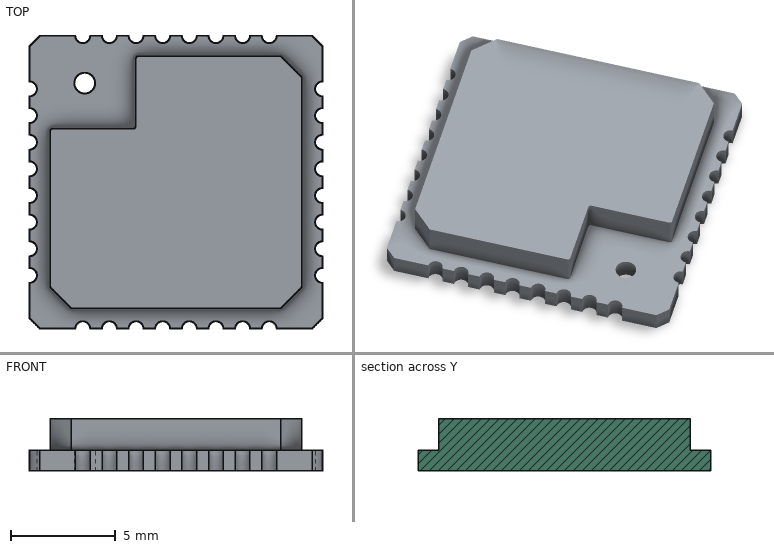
import cadquery as cq

board_side = 13.97
board_thickness = 0.99
board_chamfer = 0.5

castellation_count = 8
castellation_pitch = 1.27
castellation_diameter = 0.7

shield_side = 12.0
shield_height = 1.5
shield_chamfer = 1.0
notch_corner_x = -1.92
notch_corner_y = 2.55
notch_bend_radius = 0.127

hole_diameter = 0.98
hole_x = -4.35
hole_y = 4.72


def castellation_centres():
    """Centres of the half-round cuts on all four board edges."""
    edge = board_side / 2
    first = -castellation_pitch * (castellation_count - 1) / 2
    centres = []
    for index in range(castellation_count):
        along = first + index * castellation_pitch
        centres += [(along, edge), (along, -edge), (edge, along), (-edge, along)]
    return centres


def make_board():
    """Square board with chamfered corners, castellated edges and one hole."""
    board = (
        cq.Workplane("XY")
        .rect(board_side, board_side)
        .extrude(board_thickness)
        .edges("|Z")
        .chamfer(board_chamfer)
    )
    castellations = (
        cq.Workplane("XY")
        .pushPoints(castellation_centres())
        .circle(castellation_diameter / 2)
        .extrude(board_thickness)
    )
    hole = (
        cq.Workplane("XY")
        .center(hole_x, hole_y)
        .circle(hole_diameter / 2)
        .extrude(board_thickness)
    )
    return board.cut(castellations).cut(hole)


def make_shield():
    """Solid can with three chamfered corners and a notch with small bends at -X +Y."""
    half = shield_side / 2
    shield = (
        cq.Workplane("XY")
        .workplane(offset=board_thickness)
        .moveTo(-half, notch_corner_y)
        .lineTo(notch_corner_x, notch_corner_y)
        .lineTo(notch_corner_x, half)
        .lineTo(half - shield_chamfer, half)
        .lineTo(half, half - shield_chamfer)
        .lineTo(half, -half + shield_chamfer)
        .lineTo(half - shield_chamfer, -half)
        .lineTo(-half + shield_chamfer, -half)
        .lineTo(-half, -half + shield_chamfer)
        .close()
        .extrude(shield_height)
    )
    notch_corners = [(-half, notch_corner_y), (notch_corner_x, notch_corner_y), (notch_corner_x, half)]
    middle_height = board_thickness + shield_height / 2
    for x, y in notch_corners:
        corner_edge = cq.selectors.NearestToPointSelector((x, y, middle_height))
        shield = shield.edges(corner_edge).fillet(notch_bend_radius)
    return shield


result = make_board().union(make_shield())